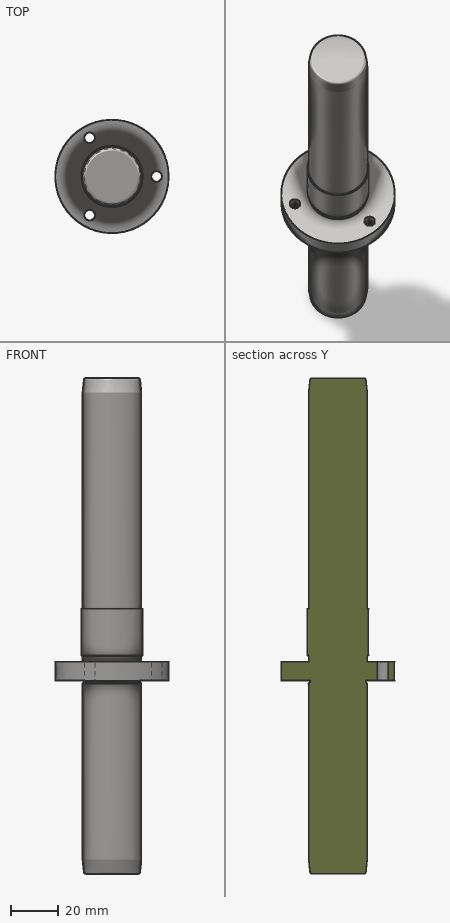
import cadquery as cq

total_length = 210.0
shaft_diameter = 25.0

taper_length = 6.0
tip_diameter = 23.7
tip_round = 1.0

flange_diameter = 48.0
flange_thickness = 8.0
flange_bottom = 82.0
flange_top = flange_bottom + flange_thickness

relief_diameter = 23.7
relief_width = 1.3
relief_slope_height = 0.6

collar_diameter = 26.0
collar_bottom = 92.0
collar_top = 112.4
collar_chamfer = 0.6

hole_count = 3
hole_diameter = 4.5
hole_circle_radius = 19.0


def cylinder(diameter, bottom, top):
    """Cylinder on the Z axis between two heights."""
    return cq.Workplane("XY").workplane(offset=bottom).circle(diameter / 2).extrude(top - bottom)


def make_shaft():
    """Round bar with a slight taper and a rounded edge at both ends."""
    shaft_radius = shaft_diameter / 2
    tip_radius = tip_diameter / 2
    profile = [
        (0, 0),
        (tip_radius, 0),
        (shaft_radius, taper_length),
        (shaft_radius, total_length - taper_length),
        (tip_radius, total_length),
        (0, total_length),
    ]
    bar = cq.Workplane("XZ").polyline(profile).close().revolve(360, (0, 0), (0, 1))
    return bar.faces("<Z or >Z").edges().fillet(tip_round)


def make_relief():
    """Ring removed from the shaft below the flange, sloping out to the full shaft diameter."""
    relief_bottom = flange_bottom - relief_width
    shaft_radius = shaft_diameter / 2
    neck_radius = relief_diameter / 2
    profile = [
        (shaft_radius, relief_bottom),
        (shaft_radius, flange_bottom),
        (neck_radius, flange_bottom),
        (neck_radius, relief_bottom + relief_slope_height),
    ]
    return cq.Workplane("XZ").polyline(profile).close().revolve(360, (0, 0), (0, 1))


def make_collar():
    """Locating collar with a chamfered lower edge."""
    return cylinder(collar_diameter, collar_bottom, collar_top).faces("<Z").edges().chamfer(collar_chamfer)


def make_flange_holes():
    """Evenly spaced through holes, the first one on the +X axis."""
    return (
        cq.Workplane("XY")
        .workplane(offset=flange_bottom)
        .polarArray(hole_circle_radius, 0, 360, hole_count)
        .circle(hole_diameter / 2)
        .extrude(flange_thickness)
    )


flange = cylinder(flange_diameter, flange_bottom, flange_top).cut(make_flange_holes())
result = make_shaft().cut(make_relief()).union(flange).union(make_collar())